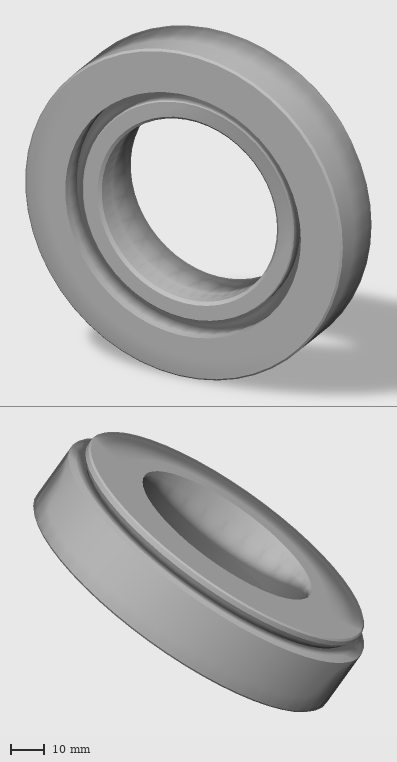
import cadquery as cq
import math

OUTER_RADIUS = 52.5
HOUSING_WIDTH = 19.8
FRONT_CHAMFER = 0.6
BACK_BEVEL_RADIAL = 2.5
BACK_BEVEL_AXIAL = 0.7
RECESS_RADIUS = 39.0
RECESS_DEPTH = 7.5

TOTAL_WIDTH = 24.9
NOSE_FACE = 3.2
NOSE_RADIUS = 35.0
NOSE_CHAMFER = 0.3
BORE_RADIUS = 29.0
BORE_CHAMFER = 0.9
BORE_STRAIGHT_END = 11.2
BORE_BACK_RADIUS = 30.0

FLANGE_RADIUS = 48.9
FLANGE_FRONT = 22.8
FLANGE_CHAMFER = 0.5
SEAT_BACK_RADIUS = 46.6

SEAT_CENTRE = (
    SEAT_BACK_RADIUS**2 - NOSE_RADIUS**2 + HOUSING_WIDTH**2 - RECESS_DEPTH**2
) / (2 * (HOUSING_WIDTH - RECESS_DEPTH))
SEAT_RADIUS = math.hypot(NOSE_RADIUS, SEAT_CENTRE - RECESS_DEPTH)
SEAT_MIDDLE = (RECESS_DEPTH + HOUSING_WIDTH) / 2
SEAT_MIDDLE_RADIUS = math.sqrt(SEAT_RADIUS**2 - (SEAT_CENTRE - SEAT_MIDDLE)**2)


def turn(profile):
    """Revolve a closed (radius, Y) profile about the Y axis."""
    return profile.close().revolve(360, (0, 0, 0), (0, 1, 0))


def make_housing():
    """Outer ring with a front recess and a spherical seat opening to the back."""
    return turn(
        cq.Workplane("XY")
        .moveTo(RECESS_RADIUS, 0)
        .lineTo(OUTER_RADIUS - FRONT_CHAMFER, 0)
        .lineTo(OUTER_RADIUS, FRONT_CHAMFER)
        .lineTo(OUTER_RADIUS, HOUSING_WIDTH - BACK_BEVEL_AXIAL)
        .lineTo(OUTER_RADIUS - BACK_BEVEL_RADIAL, HOUSING_WIDTH)
        .lineTo(SEAT_BACK_RADIUS, HOUSING_WIDTH)
        .threePointArc((SEAT_MIDDLE_RADIUS, SEAT_MIDDLE), (NOSE_RADIUS, RECESS_DEPTH))
        .lineTo(RECESS_RADIUS, RECESS_DEPTH)
    )


def make_inner_ring():
    """Flanged ring with a nose, a spherical outside and a bore that widens to the back."""
    return turn(
        cq.Workplane("XY")
        .moveTo(BORE_RADIUS + BORE_CHAMFER, NOSE_FACE)
        .lineTo(NOSE_RADIUS - NOSE_CHAMFER, NOSE_FACE)
        .lineTo(NOSE_RADIUS, NOSE_FACE + NOSE_CHAMFER)
        .lineTo(NOSE_RADIUS, RECESS_DEPTH)
        .threePointArc((SEAT_MIDDLE_RADIUS, SEAT_MIDDLE), (SEAT_BACK_RADIUS, HOUSING_WIDTH))
        .lineTo(FLANGE_RADIUS, FLANGE_FRONT)
        .lineTo(FLANGE_RADIUS, TOTAL_WIDTH - FLANGE_CHAMFER)
        .lineTo(FLANGE_RADIUS - FLANGE_CHAMFER, TOTAL_WIDTH)
        .lineTo(BORE_BACK_RADIUS, TOTAL_WIDTH)
        .lineTo(BORE_RADIUS, BORE_STRAIGHT_END)
        .lineTo(BORE_RADIUS, NOSE_FACE + BORE_CHAMFER)
    )


housing = make_housing()
inner_ring = make_inner_ring()

result = cq.Compound.makeCompound([housing.val(), inner_ring.val()])